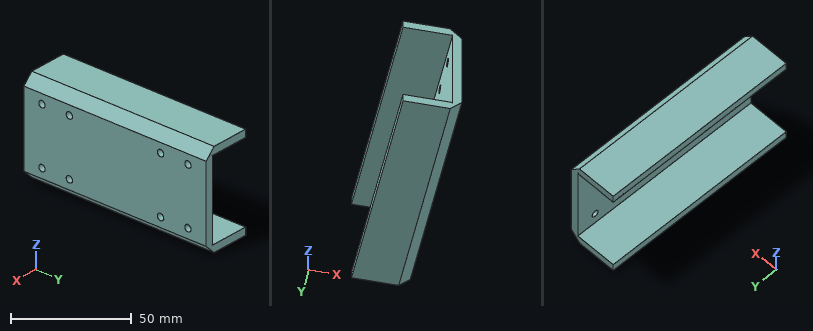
import cadquery as cq

depth = 25.0
length = 100.0
height = 50.0

wall = 4.0
corner_chamfer = 5.0

hole_diameter = 3.4
outer_hole_y = 40.0
inner_hole_y = 25.0
hole_z = 15.0


def channel():
    """C-shaped channel, open towards -X, with its outer web corners chamfered."""
    block = cq.Workplane("XY").box(depth, length, height)
    block = block.edges(">X and |Y").chamfer(corner_chamfer)
    cavity = cq.Workplane("XY").box(depth, length, height - 2 * wall).translate((-wall, 0, 0))
    return block.cut(cavity)


def web_holes():
    """Cylinders along X for the four pairs of screw holes."""
    positions = [
        (side * y, z)
        for side in (-1, 1)
        for y in (inner_hole_y, outer_hole_y)
        for z in (-hole_z, hole_z)
    ]
    return (
        cq.Workplane("YZ")
        .pushPoints(positions)
        .circle(hole_diameter / 2)
        .extrude(depth / 2)
    )


result = channel().cut(web_holes())